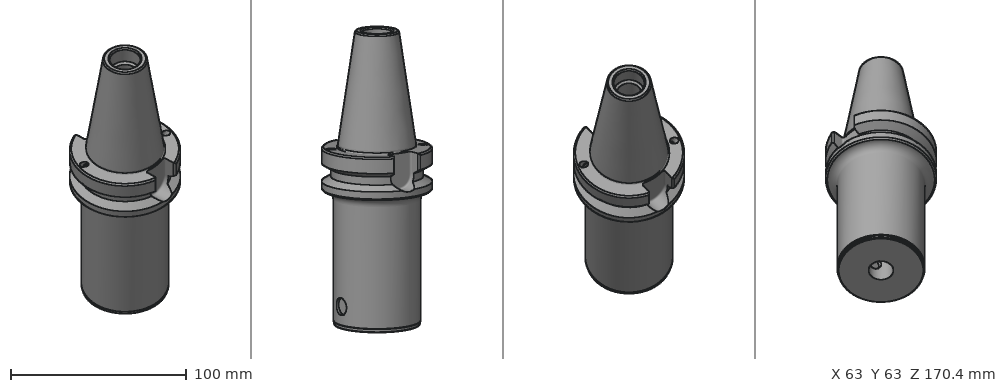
import cadquery as cq
import math


gauge_radius = 44.45 / 2
taper_length = 65.4
taper_ratio = 7 / 24
taper_end_radius = gauge_radius - taper_length * taper_ratio / 2
taper_end_chamfer = 0.9

flange_radius = 31.5
flange_top = -2.0
flange_bottom = -27.0
flange_chamfer = 1.0
collar_fillet = 0.8
groove_radius = 26.4
groove_middle = -16.6
groove_floor_width = 4.7
groove_flank_angle = 30.0
groove_flank_height = (flange_radius - groove_radius) * math.tan(math.radians(groove_flank_angle))
groove_half_floor = groove_floor_width / 2
groove_half_mouth = groove_half_floor + groove_flank_height

nose_radius = 25.0
nose_bottom = -105.0
nose_fillet = 5.0
tip_radius = 24.5
tip_length = 2.0
tip_chamfer = 0.5

bore_radius = 7.0
mouth_radius = 8.65
mouth_chamfer = 0.85
mouth_depth = 9.5
mouth_cone_height = 1.0

slot_width = 16.1
slot_floor_x = 22.25
slot_bottom = -23.0
slot_floor_fillet = 1.1
slot_corner_chamfer = 1.1

coolant_offset = 27.0
coolant_angles = (70.0, 250.0)
coolant_tilt = 30.0
coolant_mouth_radius = 2.2
coolant_mouth_depth = 3.0
coolant_radius = 1.9
coolant_depth = 9.0

screw_radius = 5.0
screw_height = 13.2
screw_z = nose_bottom + screw_height
screw_inner_y = bore_radius
screw_outer_y = 23.0


def arc_middle(centre_r, centre_z, radius, z_direction):
    """Middle of a quarter arc that faces the axis, above (+1) or below (-1) its centre."""
    offset = radius * math.sqrt(0.5)
    return (centre_r - offset, centre_z + z_direction * offset)


def make_blank():
    tip_top = nose_bottom + tip_length
    profile = (
        cq.Workplane("XZ")
        .moveTo(0, taper_length)
        .lineTo(taper_end_radius - taper_end_chamfer, taper_length)
        .lineTo(taper_end_radius, taper_length - taper_end_chamfer)
        .lineTo(gauge_radius, 0)
        .lineTo(gauge_radius, flange_top + collar_fillet)
        .threePointArc(
            arc_middle(gauge_radius + collar_fillet, flange_top + collar_fillet, collar_fillet, -1),
            (gauge_radius + collar_fillet, flange_top),
        )
        .lineTo(flange_radius - flange_chamfer, flange_top)
        .lineTo(flange_radius, flange_top - flange_chamfer)
        .lineTo(flange_radius, groove_middle + groove_half_mouth)
        .lineTo(groove_radius, groove_middle + groove_half_floor)
        .lineTo(groove_radius, groove_middle - groove_half_floor)
        .lineTo(flange_radius, groove_middle - groove_half_mouth)
        .lineTo(flange_radius, flange_bottom + flange_chamfer)
        .lineTo(flange_radius - flange_chamfer, flange_bottom)
        .lineTo(nose_radius + nose_fillet, flange_bottom)
        .threePointArc(
            arc_middle(nose_radius + nose_fillet, flange_bottom - nose_fillet, nose_fillet, 1),
            (nose_radius, flange_bottom - nose_fillet),
        )
        .lineTo(nose_radius, tip_top + nose_radius - tip_radius)
        .lineTo(tip_radius, tip_top)
        .lineTo(tip_radius, nose_bottom + tip_chamfer)
        .lineTo(tip_radius - tip_chamfer, nose_bottom)
        .lineTo(0, nose_bottom)
        .close()
    )
    return profile.revolve(360, (0, 0, 0), (0, 1, 0))


def make_bore():
    mouth_floor = taper_length - mouth_depth
    profile = (
        cq.Workplane("XZ")
        .moveTo(0, taper_length)
        .lineTo(mouth_radius + mouth_chamfer, taper_length)
        .lineTo(mouth_radius, taper_length - mouth_chamfer)
        .lineTo(mouth_radius, mouth_floor)
        .lineTo(bore_radius, mouth_floor - mouth_cone_height)
        .lineTo(bore_radius, nose_bottom)
        .lineTo(0, nose_bottom)
        .close()
    )
    return profile.revolve(360, (0, 0, 0), (0, 1, 0))


def make_drive_slot():
    """Round-ended slot at +X, with a filleted floor and chamfered corners at the flange rim."""
    half_width = slot_width / 2
    arc_centre_z = slot_bottom + half_width
    slot = (
        cq.Workplane("YZ", origin=(slot_floor_x, 0, 0))
        .moveTo(-half_width, flange_top)
        .lineTo(-half_width, arc_centre_z)
        .threePointArc((0, slot_bottom), (half_width, arc_centre_z))
        .lineTo(half_width, flange_top)
        .close()
        .extrude(flange_radius - slot_floor_x)
    )
    floor_edges = slot.faces("<X").edges("not >Z")
    slot = floor_edges.fillet(slot_floor_fillet)

    rim_x = math.sqrt(flange_radius**2 - (half_width + slot_corner_chamfer) ** 2)
    flare = (
        cq.Workplane("XY", origin=(0, 0, groove_middle))
        .moveTo(rim_x - slot_corner_chamfer, half_width)
        .lineTo(rim_x, half_width + slot_corner_chamfer)
        .lineTo(flange_radius, half_width + slot_corner_chamfer)
        .lineTo(flange_radius, -half_width - slot_corner_chamfer)
        .lineTo(rim_x, -half_width - slot_corner_chamfer)
        .lineTo(rim_x - slot_corner_chamfer, -half_width)
        .close()
        .extrude(flange_top - groove_middle)
    )
    return slot.union(flare)


def make_coolant_hole(angle):
    """Stepped hole whose mouth is centred on the flange top at the given angle about Z."""
    overshoot = 2.0
    profile = (
        cq.Workplane("XZ")
        .moveTo(0, overshoot)
        .lineTo(coolant_mouth_radius, overshoot)
        .lineTo(coolant_mouth_radius, -coolant_mouth_depth)
        .lineTo(coolant_radius, -coolant_mouth_depth - (coolant_mouth_radius - coolant_radius))
        .lineTo(coolant_radius, -coolant_depth)
        .lineTo(0, -coolant_depth)
        .close()
    )
    return (
        profile.revolve(360, (0, 0, 0), (0, 1, 0))
        .rotate((0, 0, 0), (0, 1, 0), coolant_tilt)
        .translate((coolant_offset, 0, flange_top))
        .rotate((0, 0, 0), (0, 0, 1), angle)
    )


def make_screw_cylinder(inner_y, outer_y):
    cylinder = cq.Workplane("XZ", origin=(0, inner_y, screw_z)).circle(screw_radius)
    return cylinder.extrude(inner_y - outer_y)


def make_holder():
    holder = make_blank().cut(make_bore())
    for angle in (0, 180):
        holder = holder.cut(make_drive_slot().rotate((0, 0, 0), (0, 0, 1), angle))
    for angle in coolant_angles:
        holder = holder.cut(make_coolant_hole(angle))
    return holder.cut(make_screw_cylinder(0, nose_radius))


def make_clamping_screw():
    return make_screw_cylinder(screw_inner_y, screw_outer_y)


holder = make_holder()
clamping_screw = make_clamping_screw()
result = cq.Compound.makeCompound([holder.solids().val(), clamping_screw.val()])